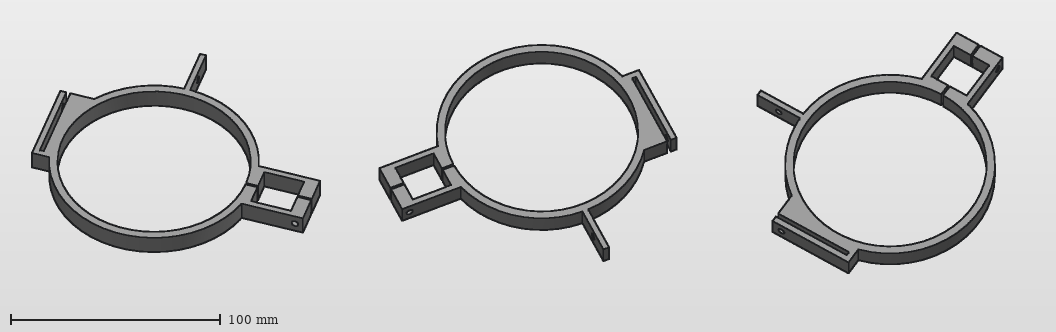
import cadquery as cq
import math

height = 10.0
mid_height = height / 2

ring_inner_radius = 46.0
ring_outer_radius = 50.0

arm_width = 3.0
arm_end_y = 74.0
arm_hole_from_end = 12.0

clamp_window = 20.0
clamp_wall = 3.0
clamp_width = clamp_window + 2 * clamp_wall
clamp_window_start_x = 52.0
clamp_end_x = 79.0
clamp_hole_from_end = 4.0
split_gap = 1.0

block_outer_x = -57.0
block_top_y = 30.0
block_bottom_y = -clamp_width / 2
tongue_thickness = 3.0
slot_width = 2.0
slot_floor = 3.0
slot_start_x = block_outer_x + tongue_thickness
slot_end_x = slot_start_x + slot_width
tongue_hole_from_top = 5.0

screw_diameter = 3.2
pilot_diameter = 1.0
pilot_depth = 8.0
pilot_point_angle = 118.0


def box(x_min, x_max, y_min, y_max):
    """Full-height block between the given X and Y limits."""
    return cq.Workplane("XY").box(
        x_max - x_min, y_max - y_min, height, centered=False
    ).translate((x_min, y_min, 0))


def hole_along_x(diameter, x_min, x_max, y):
    """Cylinder at mid height, running along X."""
    return (
        cq.Workplane("YZ", origin=(x_min, y, mid_height))
        .circle(diameter / 2)
        .extrude(x_max - x_min)
    )


def make_body():
    """Ring outline with the arm, clamp and block joined, before the cuts."""
    disc = cq.Workplane("XY").circle(ring_outer_radius).extrude(height)
    arm = box(-arm_width / 2, arm_width / 2, 0, arm_end_y)
    clamp = box(0, clamp_end_x, -clamp_width / 2, clamp_width / 2)
    block = box(block_outer_x, 0, block_bottom_y, block_top_y)
    bore = cq.Workplane("XY").circle(ring_inner_radius).extrude(height)
    return disc.union(arm).union(clamp).union(block).cut(bore)


def cut_arm_hole(body):
    """Screw hole through the arm, along X."""
    hole_y = arm_end_y - arm_hole_from_end
    return body.cut(hole_along_x(screw_diameter, -arm_width / 2, arm_width / 2, hole_y))


def cut_clamp(body):
    """Square window, the split through the clamp and ring, and the screw hole along Y."""
    window = box(
        clamp_window_start_x,
        clamp_window_start_x + clamp_window,
        -clamp_window / 2,
        clamp_window / 2,
    )
    split = box(0, clamp_end_x, -split_gap / 2, split_gap / 2)
    screw_hole = (
        cq.Workplane("XZ", origin=(clamp_end_x - clamp_hole_from_end, 0, mid_height))
        .circle(screw_diameter / 2)
        .extrude(clamp_width / 2, both=True)
    )
    return body.cut(window).cut(split).cut(screw_hole)

def make_pilot_hole(y):
    """Blind pilot hole from the slot into the block, ending in a drill point."""
    radius = pilot_diameter / 2
    end_x = slot_end_x + pilot_depth
    point_length = radius / math.tan(math.radians(pilot_point_angle / 2))
    point = cq.Solid.makeCone(
        radius, 0, point_length, cq.Vector(end_x, y, mid_height), cq.Vector(1, 0, 0)
    )
    return hole_along_x(pilot_diameter, slot_end_x, end_x, y).union(cq.Workplane(point))


def cut_block(body):
    """Slot that frees the tongue, its screw hole, and the pilot hole behind it."""
    slot = box(slot_start_x, slot_end_x, block_bottom_y + slot_floor, block_top_y)
    hole_y = block_top_y - tongue_hole_from_top
    screw_hole = hole_along_x(screw_diameter, block_outer_x, slot_start_x, hole_y)
    return body.cut(slot).cut(screw_hole).cut(make_pilot_hole(hole_y))


result = cut_block(cut_clamp(cut_arm_hole(make_body())))